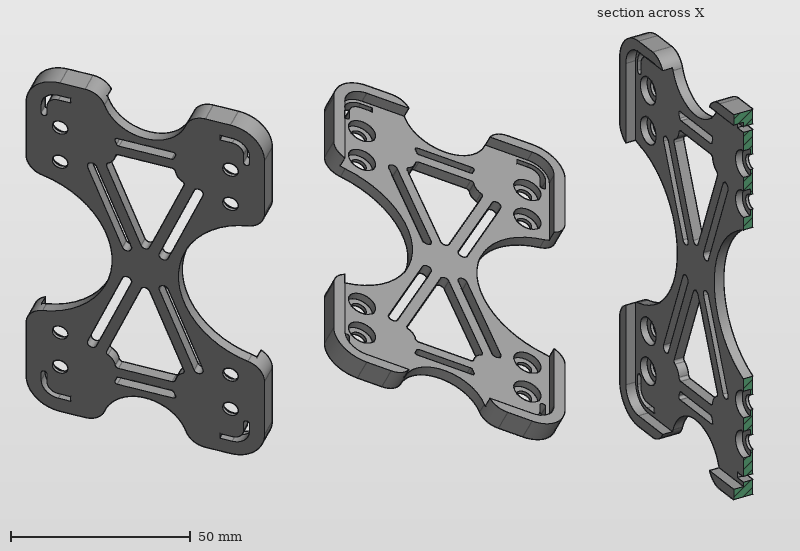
import cadquery as cq
import math

WIDTH = 70.8
HEIGHT = 121.6
DEPTH = 6.3
PLATE_THICKNESS = 3.2
HALF_WIDTH = WIDTH / 2
HALF_HEIGHT = HEIGHT / 2

CORNER_RADIUS = 10.1
WAIST_RADIUS = 25.5
WAIST_BLEND = 6.1
NOTCH_RADIUS = 12.8
NOTCH_BLEND = 6.1

WALL_THICKNESS = 3.4

HOLE_DIAMETER = 4.6
COUNTERBORE_DIAMETER = 8.3
LIP_THICKNESS = 1.0
HOLE_X = 25.3
HOLE_ROWS = (31.6, 44.3)

STRUT_SLOPE = 0.39
WINDOW_APEX_Z = 4.9
WINDOW_TOP_Z = 39.5
WINDOW_APEX_FILLET = 1.3
WINDOW_CORNER_FILLET = 1.0
BITE_RADIUS = 4.4
BITE_X = 13.3
BITE_Z = 39.3

DIAGONAL_WIDTH = 2.8
DIAGONAL_LOW_Z = 6.2
DIAGONAL_HIGH_Z = 32.7
DIAGONAL_LOW_X = 5.5

CROSS_HALF_WIDTH = 9.4
CROSS_BOTTOM_Z = 42.8
CROSS_TOP_Z = 45.5
CROSS_FILLET = 0.7

STRAP_WIDTH = 1.7
STRAP_BEND_RADIUS = 5.1
STRAP_BEND_X = 25.8
STRAP_BEND_Z = 51.0
STRAP_END_X = 22.1
STRAP_END_Z = 47.3


def front_plane():
    """Sketch plane on the front face, with local axes X and Z."""
    return cq.Workplane("XZ")


def four_way(solid):
    """A quarter feature together with its mirror images in X and Z."""
    half = solid.union(solid.mirror("YZ"))
    return half.union(half.mirror("XY"))


def two_way(solid):
    """A feature centred in X together with its mirror image in Z."""
    return solid.union(solid.mirror("XY"))


def arc_point(center, radius, degrees):
    """Point on a circle, with the angle counted from +X towards +Z."""
    angle = math.radians(degrees)
    return (center[0] + radius * math.cos(angle), center[1] + radius * math.sin(angle))


def blend_reach(bite_radius, blend_radius):
    """Distance along an edge from the bite's centre to where its tangent blend meets that edge."""
    return math.sqrt((bite_radius + blend_radius) ** 2 - blend_radius**2)


def quarter_plate():
    """One quarter of the full-depth outline, from the plate centre out to the +X +Z corner.

    The notch is centred on the end edge and the waist on the side edge, so each bite, its
    tangent point and its blend centre lie on one straight line.
    """
    notch_center = (0, HALF_HEIGHT)
    notch_blend = (blend_reach(NOTCH_RADIUS, NOTCH_BLEND), HALF_HEIGHT - NOTCH_BLEND)
    notch_angle = -math.degrees(math.atan2(NOTCH_BLEND, notch_blend[0]))
    notch_tangent = arc_point(notch_center, NOTCH_RADIUS, notch_angle)

    corner = (HALF_WIDTH - CORNER_RADIUS, HALF_HEIGHT - CORNER_RADIUS)

    waist_center = (HALF_WIDTH, 0)
    waist_blend = (HALF_WIDTH - WAIST_BLEND, blend_reach(WAIST_RADIUS, WAIST_BLEND))
    waist_angle = 90 + math.degrees(math.atan2(WAIST_BLEND, waist_blend[1]))
    waist_tangent = arc_point(waist_center, WAIST_RADIUS, waist_angle)

    return (
        front_plane()
        .lineTo(0, HALF_HEIGHT - NOTCH_RADIUS)
        .threePointArc(arc_point(notch_center, NOTCH_RADIUS, (notch_angle - 90) / 2), notch_tangent)
        .threePointArc(arc_point(notch_blend, NOTCH_BLEND, 135), (notch_blend[0], HALF_HEIGHT))
        .lineTo(corner[0], HALF_HEIGHT)
        .threePointArc(arc_point(corner, CORNER_RADIUS, 45), (HALF_WIDTH, corner[1]))
        .lineTo(HALF_WIDTH, waist_blend[1])
        .threePointArc(arc_point(waist_blend, WAIST_BLEND, -45), waist_tangent)
        .threePointArc(
            arc_point(waist_center, WAIST_RADIUS, (waist_angle + 180) / 2),
            (HALF_WIDTH - WAIST_RADIUS, 0),
        )
        .close().extrude(-DEPTH)
    )


def back_pocket():
    """Rounded rectangular pocket that leaves a wall only along the straight edges and corners."""
    return (
        front_plane().workplane(offset=-PLATE_THICKNESS)
        .rect(WIDTH - 2 * WALL_THICKNESS, HEIGHT - 2 * WALL_THICKNESS)
        .extrude(-DEPTH)
        .edges("|Y").fillet(CORNER_RADIUS - WALL_THICKNESS)
    )


def screw_holes():
    """Through holes whose wider counterbores stop at a thin lip behind the front face."""
    spots = [(HOLE_X, z) for z in HOLE_ROWS]
    bores = front_plane().pushPoints(spots).circle(HOLE_DIAMETER / 2).extrude(-DEPTH)
    heads = (
        front_plane().workplane(offset=-LIP_THICKNESS)
        .pushPoints(spots).circle(COUNTERBORE_DIAMETER / 2).extrude(-DEPTH)
    )
    return four_way(bores.union(heads))


def windows():
    """Triangular windows with a rounded apex and both wide corners replaced by inward arcs."""
    half_top = (WINDOW_TOP_Z - WINDOW_APEX_Z) * STRUT_SLOPE
    window = (
        front_plane()
        .polyline([(0, WINDOW_APEX_Z), (half_top, WINDOW_TOP_Z), (-half_top, WINDOW_TOP_Z)])
        .close().extrude(-DEPTH)
        .edges("|Y and <Z").fillet(WINDOW_APEX_FILLET)
    )
    bites = front_plane().pushPoints([(-BITE_X, BITE_Z), (BITE_X, BITE_Z)]).circle(BITE_RADIUS)
    window = window.cut(bites.extrude(-DEPTH))
    wide_end = cq.selectors.BoxSelector(
        (-half_top, 0, BITE_Z - BITE_RADIUS),
        (half_top, DEPTH, HALF_HEIGHT),
    )
    window = window.edges("|Y").edges(wide_end).fillet(WINDOW_CORNER_FILLET)
    return two_way(window)


def diagonal_slots():
    """Round-ended slots that run parallel to the slanted sides of the windows."""
    rise = DIAGONAL_HIGH_Z - DIAGONAL_LOW_Z
    run = rise * STRUT_SLOPE
    length = math.hypot(run, rise) + DIAGONAL_WIDTH
    slot = (
        front_plane()
        .center(DIAGONAL_LOW_X + run / 2, (DIAGONAL_LOW_Z + DIAGONAL_HIGH_Z) / 2)
        .slot2D(length, DIAGONAL_WIDTH, math.degrees(math.atan2(rise, run)))
        .extrude(-DEPTH)
    )
    return four_way(slot)


def cross_slots():
    """Slots across the plate with slanted, rounded ends."""
    taper = (CROSS_TOP_Z - CROSS_BOTTOM_Z) * STRUT_SLOPE
    low = CROSS_HALF_WIDTH - taper
    slot = (
        front_plane()
        .polyline([
            (-low, CROSS_BOTTOM_Z),
            (low, CROSS_BOTTOM_Z),
            (CROSS_HALF_WIDTH, CROSS_TOP_Z),
            (-CROSS_HALF_WIDTH, CROSS_TOP_Z),
        ])
        .close().extrude(-DEPTH)
        .edges("|Y").fillet(CROSS_FILLET)
    )
    return two_way(slot)


def strap_slots():
    """Bent slots with one rounded end beside the wall and one square end."""
    bend = (STRAP_BEND_X, STRAP_BEND_Z)
    inner_radius = STRAP_BEND_RADIUS - STRAP_WIDTH
    outer_x = STRAP_BEND_X + STRAP_BEND_RADIUS
    outer_z = STRAP_BEND_Z + STRAP_BEND_RADIUS
    inner_x = STRAP_BEND_X + inner_radius
    inner_z = STRAP_BEND_Z + inner_radius
    end_radius = STRAP_WIDTH / 2
    end_z = STRAP_END_Z + end_radius
    slot = (
        front_plane()
        .moveTo(STRAP_END_X, inner_z)
        .lineTo(STRAP_BEND_X, inner_z)
        .threePointArc(arc_point(bend, inner_radius, 45), (inner_x, STRAP_BEND_Z))
        .lineTo(inner_x, end_z)
        .threePointArc((inner_x + end_radius, STRAP_END_Z), (outer_x, end_z))
        .lineTo(outer_x, STRAP_BEND_Z)
        .threePointArc(arc_point(bend, STRAP_BEND_RADIUS, 45), (STRAP_BEND_X, outer_z))
        .lineTo(STRAP_END_X, outer_z)
        .close().extrude(-DEPTH)
    )
    return four_way(slot)


result = four_way(quarter_plate())
for opening in (
    back_pocket(),
    screw_holes(),
    windows(),
    diagonal_slots(),
    cross_slots(),
    strap_slots(),
):
    result = result.cut(opening)